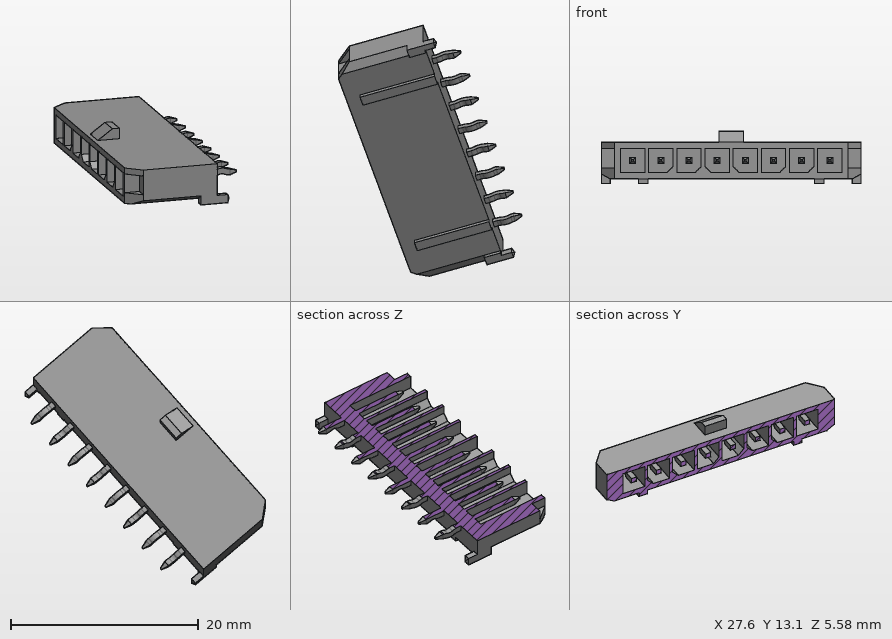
import cadquery as cq
import math


length = 27.65
depth = 9.92
bottom = 0.5
top = 4.42
corner_x = 1.38
corner_y = 1.65
edge_x = 0.95
edge_z = 0.53
notch_bottom = 1.69
notch_top = 3.75

pins = 8
row_length = 21.0
pitch = row_length / (pins - 1)
cavity_size = 2.6
cavity_bottom = 1.15
cavity_depth = 8.0
cavity_bevel = 0.65
right_bevelled = (1, 2, 5, 6)
left_bevelled = (3, 4)

pin_size = 0.64
pin_tip_size = 0.2
pin_taper = 0.8
pin_z = 2.5
pin_front = 2.0
pin_rear = 13.07
bend_radius = 1.15
bend_depth = 0.2
bend_angle = math.acos(1 - bend_depth / (2 * bend_radius))
bend_reach = 2 * bend_radius * math.sin(bend_angle)
bend_center = pin_rear - pin_taper - bend_reach

latch_width = 2.63
latch_front = 0.53
latch_crest = 2.15
latch_rear = 2.93
latch_top = 5.58

lug_front = 8.1
lug_width = edge_x
lug_height = 0.9
peg_width = 0.64
peg_shoulder = 11.08
peg_tip = 11.33
foot_x = 9.37
foot_width = 1.02
foot_front = 1.58


def box(x0, x1, y0, y1, z0, z1):
    return cq.Workplane("XY").box(x1 - x0, y1 - y0, z1 - z0, centered=False).translate((x0, y0, z0))


def both_ends(shape):
    """The shape together with its mirror image at the other end of the row."""
    return shape.union(shape.mirror("YZ"))


def make_housing():
    half = length / 2
    body = (
        cq.Workplane("XY", origin=(0, 0, bottom))
        .moveTo(-half + corner_x, 0)
        .lineTo(half - corner_x, 0)
        .lineTo(half, corner_y)
        .lineTo(half, depth)
        .lineTo(-half, depth)
        .lineTo(-half, corner_y)
        .close()
        .extrude(top - bottom)
    )
    bevel = (
        cq.Workplane("XZ")
        .polyline([(-half, bottom), (-half + edge_x, bottom), (-half, bottom + edge_z)])
        .close()
        .extrude(-lug_front)
    )
    notch = box(-half, -half + corner_x, 0, corner_y, notch_bottom, notch_top)
    return body.cut(both_ends(bevel)).cut(both_ends(notch))


def make_cavity(index, x):
    half = cavity_size / 2
    cavity = box(x - half, x + half, 0, cavity_depth, cavity_bottom, cavity_bottom + cavity_size)
    if index in right_bevelled:
        cavity = cavity.edges("|Y and >X and <Z").chamfer(cavity_bevel)
    if index in left_bevelled:
        cavity = cavity.edges("|Y and <X and <Z").chamfer(cavity_bevel)
    return cavity


def bend_points(offset):
    """Ends and middles of the three tangent arcs of the kink, at a height offset from the pin axis."""
    outer = bend_radius + offset
    inner = bend_radius - offset
    below = -bend_radius
    above = bend_radius - bend_depth
    join_y = bend_reach - outer * math.sin(bend_angle)
    join_z = below + outer * math.cos(bend_angle)
    mid_y = bend_reach - outer * math.sin(bend_angle / 2)
    mid_z = below + outer * math.cos(bend_angle / 2)
    right_half = [(join_y, join_z), (mid_y, mid_z), (bend_reach, offset)]
    left_half = [(-y, z) for y, z in reversed(right_half)]
    points = left_half + [(0, above - inner)] + right_half
    return [(bend_center + y, z) for y, z in points]


def draw_bend(sketch, points):
    for middle, end in zip(points[1::2], points[2::2]):
        sketch = sketch.threePointArc(middle, end)
    return sketch


def make_pin():
    """Pin on the axis Z = 0 with pointed ends and a kink that dips downwards."""
    half = pin_size / 2
    tip = pin_tip_size / 2
    shoulder_front = pin_front + pin_taper
    shoulder_rear = pin_rear - pin_taper
    upper = bend_points(half)
    lower = bend_points(-half)[::-1]

    side = cq.Workplane("YZ").moveTo(pin_front, tip).lineTo(shoulder_front, half).lineTo(*upper[0])
    side = draw_bend(side, upper)
    side = side.lineTo(pin_rear, tip).lineTo(pin_rear, -tip).lineTo(*lower[0])
    side = draw_bend(side, lower)
    side = side.lineTo(shoulder_front, -half).lineTo(pin_front, -tip).close()
    side = side.extrude(half, both=True)

    right_edge = [(tip, pin_front), (half, shoulder_front), (half, shoulder_rear), (tip, pin_rear)]
    left_edge = [(-x, y) for x, y in reversed(right_edge)]
    plan = cq.Workplane("XY").polyline(right_edge + left_edge).close().extrude(pin_size, both=True)
    return side.intersect(plan)


def make_latch():
    return (
        cq.Workplane("YZ")
        .polyline([(latch_front, top), (latch_crest, latch_top), (latch_rear, latch_top), (latch_rear, top)])
        .close()
        .extrude(latch_width / 2, both=True)
    )


def make_lug():
    """Left lug with its square peg, pointed as a pyramid behind the housing."""
    outer = -length / 2
    block = box(outer, outer + lug_width, lug_front, depth, 0, lug_height)
    side = (
        cq.Workplane("YZ", origin=(outer, 0, 0))
        .polyline([(lug_front, 0), (peg_shoulder, 0), (peg_tip, lug_height / 2),
                   (peg_shoulder, lug_height), (lug_front, lug_height)])
        .close()
        .extrude(peg_width)
    )
    plan = (
        cq.Workplane("XY")
        .polyline([(outer, lug_front), (outer + peg_width, lug_front), (outer + peg_width, peg_shoulder),
                   (outer + peg_width / 2, peg_tip), (outer, peg_shoulder)])
        .close()
        .extrude(lug_height)
    )
    return block.union(side.intersect(plan))


def make_foot():
    half = foot_width / 2
    return box(-foot_x - half, -foot_x + half, foot_front, depth, 0, bottom)


result = make_housing().union(make_latch())
result = result.union(both_ends(make_lug())).union(both_ends(make_foot()))

pin_down = make_pin()
pin_up = pin_down.mirror("XY")
for index in range(pins):
    pin_x = index * pitch - row_length / 2
    pin = pin_down if index % 2 == 0 else pin_up
    result = result.cut(make_cavity(index, pin_x)).union(pin.translate((pin_x, 0, pin_z)))